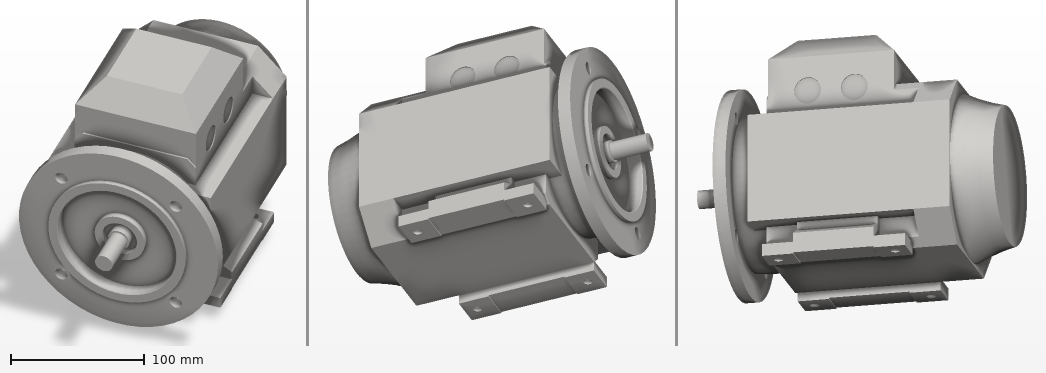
import cadquery as cq
import math


SHAFT_DIAMETER = 14.0
SHAFT_LENGTH = 30.0
SHOULDER_DIAMETER = 17.0

FLANGE_DIAMETER = 160.0
FLANGE_THICKNESS = 10.0
SPIGOT_DIAMETER = 110.0
SPIGOT_HEIGHT = 3.5
RECESS_DIAMETER = 95.0
RECESS_DEPTH = 10.8
RECESS_CHAMFER = 0.6
BOSS_DIAMETER = 40.0
BOSS_HEIGHT = 5.0
BOSS_BORE_DIAMETER = 28.0
FLANGE_BOLT_CIRCLE = 130.0
FLANGE_HOLE_DIAMETER = 10.0
FLANGE_HOLE_COUNT = 4
FLANGE_FIRST_HOLE_ANGLE = 45.0

NECK_FRONT_RADIUS = 58.8
NECK_REAR_RADIUS = 59.6
NECK_TAPER_END = 25.8

FRAME_HALF_WIDTH = 65.0
FRAME_CHAMFER = 23.0
FRAME_FRONT = 33.7
FRAME_REAR = 179.0
SLAB_FRONT = 23.3
SLAB_HALF_HEIGHT = FRAME_HALF_WIDTH - FRAME_CHAMFER
NOTCH_WALL_X = 48.5
NOTCH_REAR = 151.0

COWL_FRONT_RADIUS = 64.0
COWL_MIDDLE_RADIUS = 57.5
COWL_REAR_RADIUS = 53.2
COWL_REAR = 209.5

BOX_WIDTH = 2 * NOTCH_WALL_X
BOX_FRONT = 35.0
BOX_LENGTH = 97.0
BOX_MIDDLE = BOX_FRONT + BOX_LENGTH / 2
BOX_TOP = 80.0
LID_BEVEL_START = 90.0
LID_TOP = 109.0
LID_BEVEL_INSET = 18.2
KNOCKOUT_DIAMETER = 20.5
KNOCKOUT_SPACING = 36.0
KNOCKOUT_HEIGHT = 63.2
KNOCKOUT_DEPTH = 1.0

SHAFT_HEIGHT = 71.0
FOOT_INNER_X = 44.0
FOOT_OUTER_X = 68.2
FOOT_FRONT = 35.0
FOOT_REAR = 145.2
FOOT_THICKNESS = 9.3
RIB_FRONT = 59.0
RIB_REAR = 121.0
RIB_EDGE_HEIGHT = 16.3
RIB_SHOULDER_HEIGHT = 23.1
RIB_SLOPE_RUN = 13.2
FOOT_RELIEF = 0.9
FOOT_HOLE_SPACING_X = 112.0
FOOT_HOLE_FIRST_Y = 45.0
FOOT_HOLE_SPACING_Y = 90.0
FOOT_HOLE_DIAMETER = 7.0


def block(x_range, y_range, z_range):
    """Axis-aligned block given by its limits along X, Y and Z."""
    limits = (x_range, y_range, z_range)
    size = [high - low for low, high in limits]
    corner = [low for low, high in limits]
    return cq.Workplane("XY").box(*size, centered=False).translate(tuple(corner))


def cylinder(diameter, y_start, y_end):
    """Cylinder on the shaft axis between two Y positions."""
    plane = cq.Workplane("XZ", origin=(0, y_start, 0))
    return plane.circle(diameter / 2).extrude(y_start - y_end)


def make_frame():
    core = (
        block(
            (-FRAME_HALF_WIDTH, FRAME_HALF_WIDTH),
            (FRAME_FRONT, FRAME_REAR),
            (-FRAME_HALF_WIDTH, FRAME_HALF_WIDTH),
        )
        .edges("|Y")
        .chamfer(FRAME_CHAMFER)
    )
    for side in (-1, 1):
        for level in (-1, 1):
            notch = block(
                sorted((side * NOTCH_WALL_X, side * FRAME_HALF_WIDTH)),
                (FRAME_FRONT, NOTCH_REAR),
                sorted((level * SLAB_HALF_HEIGHT, level * FRAME_HALF_WIDTH)),
            )
            core = core.cut(notch)
    slab = block(
        (-FRAME_HALF_WIDTH, FRAME_HALF_WIDTH),
        (SLAB_FRONT, FRAME_REAR),
        (-SLAB_HALF_HEIGHT, SLAB_HALF_HEIGHT),
    )
    return core.union(slab)


def make_neck():
    profile = (
        cq.Workplane("XY")
        .moveTo(0, 0)
        .lineTo(NECK_FRONT_RADIUS, 0)
        .lineTo(NECK_FRONT_RADIUS, FLANGE_THICKNESS)
        .lineTo(NECK_REAR_RADIUS, NECK_TAPER_END)
        .lineTo(NECK_REAR_RADIUS, FRAME_FRONT)
        .lineTo(0, FRAME_FRONT)
        .close()
    )
    return profile.revolve(360, (0, 0, 0), (0, 1, 0))


def make_cowl():
    middle = (FRAME_REAR + COWL_REAR) / 2
    profile = (
        cq.Workplane("XY")
        .moveTo(0, FRAME_REAR)
        .lineTo(COWL_FRONT_RADIUS, FRAME_REAR)
        .threePointArc((COWL_MIDDLE_RADIUS, middle), (COWL_REAR_RADIUS, COWL_REAR))
        .lineTo(0, COWL_REAR)
        .close()
    )
    return profile.revolve(360, (0, 0, 0), (0, 1, 0))


def make_terminal_box():
    half_width = BOX_WIDTH / 2
    box_rear = BOX_FRONT + BOX_LENGTH
    body = block((-half_width, half_width), (BOX_FRONT, box_rear), (0, BOX_TOP))
    lid_rim = block((-half_width, half_width), (BOX_FRONT, box_rear), (BOX_TOP, LID_BEVEL_START))
    lid_bevel = (
        cq.Workplane("XY", origin=(0, BOX_MIDDLE, LID_BEVEL_START))
        .rect(BOX_WIDTH, BOX_LENGTH)
        .workplane(offset=LID_TOP - LID_BEVEL_START)
        .rect(BOX_WIDTH - 2 * LID_BEVEL_INSET, BOX_LENGTH - 2 * LID_BEVEL_INSET)
        .loft(ruled=True)
    )
    return body.union(lid_rim).union(lid_bevel)


def cut_knockouts(body):
    """Cut shallow round cable-entry knockouts into both side walls of the box."""
    for side in (-1, 1):
        knockouts = (
            cq.Workplane("YZ", origin=(side * BOX_WIDTH / 2, BOX_MIDDLE, KNOCKOUT_HEIGHT))
            .rarray(KNOCKOUT_SPACING, 1, 2, 1)
            .circle(KNOCKOUT_DIAMETER / 2)
            .extrude(-side * KNOCKOUT_DEPTH)
        )
        body = body.cut(knockouts)
    return body


def make_foot():
    """Foot on the +X side: a drilled plate with a middle rib that rises to the side slab."""
    plate = block(
        (FOOT_INNER_X, FOOT_OUTER_X),
        (FOOT_FRONT, FOOT_REAR),
        (-SHAFT_HEIGHT, FOOT_THICKNESS - SHAFT_HEIGHT),
    )
    shoulder_x = FOOT_OUTER_X - RIB_SLOPE_RUN
    rib = (
        cq.Workplane("XZ", origin=(0, RIB_FRONT, 0))
        .moveTo(FOOT_INNER_X, -SHAFT_HEIGHT)
        .lineTo(FOOT_OUTER_X, -SHAFT_HEIGHT)
        .lineTo(FOOT_OUTER_X, RIB_EDGE_HEIGHT - SHAFT_HEIGHT)
        .lineTo(shoulder_x, RIB_SHOULDER_HEIGHT - SHAFT_HEIGHT)
        .lineTo(shoulder_x, -SLAB_HALF_HEIGHT)
        .lineTo(FOOT_INNER_X, -SLAB_HALF_HEIGHT)
        .close()
        .extrude(RIB_FRONT - RIB_REAR)
    )
    relief = block(
        (FOOT_INNER_X, FOOT_OUTER_X),
        (RIB_FRONT, RIB_REAR),
        (-SHAFT_HEIGHT, FOOT_RELIEF - SHAFT_HEIGHT),
    )
    holes = (
        cq.Workplane("XY", origin=(FOOT_HOLE_SPACING_X / 2, FOOT_HOLE_FIRST_Y, -SHAFT_HEIGHT))
        .pushPoints([(0, 0), (0, FOOT_HOLE_SPACING_Y)])
        .circle(FOOT_HOLE_DIAMETER / 2)
        .extrude(FOOT_THICKNESS)
    )
    return plate.union(rib).cut(relief).cut(holes)


def add_flange(body):
    """Add the drilled flange, its spigot and the recess around the shaft."""
    floor_y = RECESS_DEPTH - SPIGOT_HEIGHT
    flange = cylinder(FLANGE_DIAMETER, 0, FLANGE_THICKNESS)
    spigot = cylinder(SPIGOT_DIAMETER, -SPIGOT_HEIGHT, 0)
    recess = cylinder(RECESS_DIAMETER, -SPIGOT_HEIGHT, floor_y)
    mouth = cq.Workplane("XZ", origin=(0, -SPIGOT_HEIGHT, 0))
    mouth = mouth.circle(RECESS_DIAMETER / 2 + RECESS_CHAMFER).extrude(-RECESS_CHAMFER, taper=45)
    boss = cylinder(BOSS_DIAMETER, floor_y - BOSS_HEIGHT, floor_y)
    boss_bore = cylinder(BOSS_BORE_DIAMETER, floor_y - BOSS_HEIGHT, floor_y)
    body = body.union(flange).union(spigot).cut(recess).cut(mouth)
    body = body.union(boss.cut(boss_bore))
    for index in range(FLANGE_HOLE_COUNT):
        angle = math.radians(FLANGE_FIRST_HOLE_ANGLE + index * 360 / FLANGE_HOLE_COUNT)
        x = FLANGE_BOLT_CIRCLE / 2 * math.cos(angle)
        z = FLANGE_BOLT_CIRCLE / 2 * math.sin(angle)
        hole = cylinder(FLANGE_HOLE_DIAMETER, 0, FLANGE_THICKNESS).translate((x, 0, z))
        body = body.cut(hole)
    return body


def add_shaft(body):
    shoulder = cylinder(SHOULDER_DIAMETER, 0, FRAME_FRONT)
    shaft = cylinder(SHAFT_DIAMETER, -SHAFT_LENGTH, FRAME_FRONT)
    return body.union(shoulder).union(shaft)


foot = make_foot()
motor = make_frame().union(make_neck()).union(make_cowl()).union(make_terminal_box())
motor = cut_knockouts(motor)
motor = motor.union(foot).union(foot.mirror("YZ"))
motor = add_flange(motor)
result = add_shaft(motor)